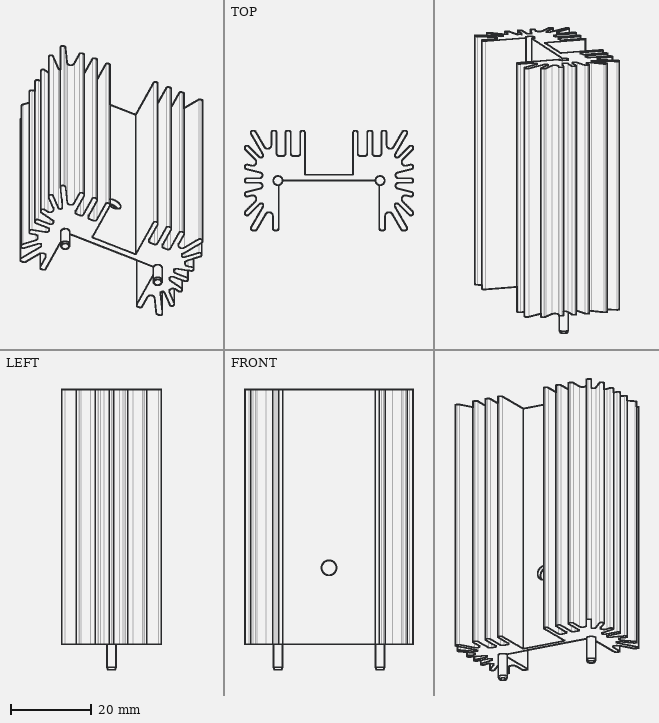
import cadquery as cq
import math

sink_width = 41.91
sink_depth = 24.89
sink_height = 63.5
half_width = sink_width / 2
half_depth = sink_depth / 2

web_thickness = 1.5
block_inner_x = 5.97
front_wall_x = 12.5
mount_hole_diameter = 3.66
mount_hole_z = 19.05

pin_spacing = 25.4
pin_diameter = 2.3
pin_protrusion = 6.35
pin_chamfer_height = 0.6
pin_chamfer_width = 0.25

inner_rear_fin = 1.2
rear_fin = 1.35
side_fin = 1.2
rear_diagonal_fin = 1.3
front_diagonal_fin = 1.55
front_fin = 1.5
tip_radius = 0.55

low_angle = 14
middle_angle = 45
steep_angle = 60

rear_fin_pitch = 3.53
inner_rear_tip_x = block_inner_x + inner_rear_fin / 2
second_rear_tip_x = 10.17
rear_diagonal_tip_x = 18.84
front_diagonal_tip_x = 18.67
front_tip_x = front_wall_x + front_fin / 2
middle_tip_y = 8.1
low_tip_y = 3.4

rear_floor_y = 6.14
floor_radius = 0.6
low_radius = 0.69
middle_radius = 0.9
steep_radius = 0.54
rear_radius = 0.9
front_radius = 0.93

REAR = 90
LEFT = 180
FRONT = 270


def heading(angle):
    """Unit vector in the XY plane at an angle from +X."""
    return cq.Vector(math.cos(math.radians(angle)), math.sin(math.radians(angle)))


def fin(tip_x, tip_y, angle, thickness, facing):
    """Fin pointing along angle, whose tip touches the envelope side that lies toward facing.

    The tip has two rounded corners joined by a flat lying on that side. The flat is as long
    as the thickness leaves room for.
    """
    direction = heading(angle)
    left = heading(angle + 90)
    outward = heading(facing)
    along = heading(facing + 90)
    middle = cq.Vector(tip_x, tip_y)
    flat = (thickness - 2 * tip_radius) / math.cos(math.radians(angle - facing))
    half_flat = along * (flat / 2)
    inset = middle - outward * tip_radius
    corner_centers = [inset - half_flat, inset + half_flat]
    return {
        "direction": direction,
        "outward": outward,
        "corner_centers": corner_centers,
        "first": corner_centers[0] - left * tip_radius,
        "second": corner_centers[1] + left * tip_radius,
    }


def flank_meeting(fin_a, fin_b):
    """Point where the second flank of one fin meets the first flank of the next."""
    p, u = fin_a["second"], fin_a["direction"]
    q, v = fin_b["first"], fin_b["direction"]
    along = ((q.x - p.x) * v.y - (q.y - p.y) * v.x) / (u.x * v.y - u.y * v.x)
    return p + u * along


def round_valley(fin_a, fin_b, radius):
    """Start, middle and end of the arc tangent to both flanks of a V valley."""
    u, v = fin_a["direction"], fin_b["direction"]
    corner = flank_meeting(fin_a, fin_b)
    half_angle = u.getAngle(v) / 2
    bisector = (u + v).normalized()
    reach = radius / math.tan(half_angle)
    middle = corner + bisector * (radius / math.sin(half_angle) - radius)
    return corner + u * reach, middle, corner + v * reach


def draw_corner(outline, center, start, end):
    """Arc of the tip radius around center from start to end."""
    bisector = ((start - center) + (end - center)).normalized()
    middle = center + bisector * tip_radius
    return outline.threePointArc(middle.toTuple()[:2], end.toTuple()[:2])


def draw_fin_tip(outline, item):
    """Go from the first flank around the tip to the second flank."""
    first_center, second_center = item["corner_centers"]
    flat_start = first_center + item["outward"] * tip_radius
    flat_end = second_center + item["outward"] * tip_radius
    outline = outline.lineTo(item["first"].x, item["first"].y)
    outline = draw_corner(outline, first_center, item["first"], flat_start)
    outline = outline.lineTo(flat_end.x, flat_end.y)
    return draw_corner(outline, second_center, flat_end, item["second"])


def draw_valley(outline, fin_a, fin_b, radius):
    start, middle, end = round_valley(fin_a, fin_b, radius)
    outline = outline.lineTo(start.x, start.y)
    return outline.threePointArc(middle.toTuple()[:2], end.toTuple()[:2])


def draw_flat_valley(outline, fin_a, fin_b):
    """Flat floor with rounded corners between two parallel rear fins."""
    right_x = fin_a["second"].x
    left_x = fin_b["first"].x
    lift = floor_radius * (1 - math.sqrt(0.5))
    floor = rear_floor_y
    outline = outline.lineTo(right_x, floor + floor_radius)
    outline = outline.threePointArc((right_x - lift, floor + lift), (right_x - floor_radius, floor))
    outline = outline.lineTo(left_x + floor_radius, floor)
    return outline.threePointArc((left_x + lift, floor + lift), (left_x, floor + floor_radius))


def finned_block():
    """Block at -X with its fins, listed from the inner rear fin round to the front one."""
    rear_fins = [
        fin(-inner_rear_tip_x, half_depth, REAR, inner_rear_fin, REAR),
        fin(-second_rear_tip_x, half_depth, REAR, rear_fin, REAR),
        fin(-second_rear_tip_x - rear_fin_pitch, half_depth, REAR, rear_fin, REAR),
    ]
    side_fins = [
        fin(-rear_diagonal_tip_x, half_depth, LEFT - steep_angle, rear_diagonal_fin, REAR),
        fin(-half_width, middle_tip_y, LEFT - middle_angle, side_fin, LEFT),
        fin(-half_width, low_tip_y, LEFT - low_angle, side_fin, LEFT),
        fin(-half_width, 0, LEFT, side_fin, LEFT),
        fin(-half_width, -low_tip_y, LEFT + low_angle, side_fin, LEFT),
        fin(-half_width, -middle_tip_y, LEFT + middle_angle, side_fin, LEFT),
        fin(-front_diagonal_tip_x, -half_depth, LEFT + steep_angle, front_diagonal_fin, FRONT),
    ]
    last_fin = fin(-front_tip_x, -half_depth, FRONT, front_fin, FRONT)
    side_radii = [steep_radius, middle_radius, low_radius, low_radius, middle_radius, steep_radius]

    outline = cq.Workplane("XY").moveTo(-block_inner_x, 0)
    outline = draw_fin_tip(outline, rear_fins[0])
    for fin_a, fin_b in zip(rear_fins, rear_fins[1:]):
        outline = draw_flat_valley(outline, fin_a, fin_b)
        outline = draw_fin_tip(outline, fin_b)
    outline = draw_valley(outline, rear_fins[-1], side_fins[0], rear_radius)
    outline = draw_fin_tip(outline, side_fins[0])
    for fin_a, fin_b, radius in zip(side_fins, side_fins[1:], side_radii):
        outline = draw_valley(outline, fin_a, fin_b, radius)
        outline = draw_fin_tip(outline, fin_b)
    outline = draw_valley(outline, side_fins[-1], last_fin, front_radius)
    outline = draw_fin_tip(outline, last_fin)
    outline = outline.lineTo(-front_wall_x, 0)
    return outline.close().extrude(sink_height)


def build_heat_sink():
    block = finned_block()
    web = cq.Workplane("XY").box(
        2 * front_wall_x, web_thickness, sink_height, centered=(True, False, False)
    )
    grooves = (
        cq.Workplane("XY")
        .pushPoints([(-pin_spacing / 2, 0), (pin_spacing / 2, 0)])
        .circle(pin_diameter / 2)
        .extrude(sink_height)
    )
    mount_hole = (
        cq.Workplane("XZ")
        .center(0, mount_hole_z)
        .circle(mount_hole_diameter / 2)
        .extrude(sink_depth, both=True)
    )
    sink = block.union(block.mirror("YZ")).union(web)
    return sink.cut(grooves).cut(mount_hole)


def build_pin(x):
    """Round pin whose top is flush with the sink bottom, under a groove; free end chamfered."""
    return (
        cq.Workplane("XY", origin=(x, 0, -pin_protrusion))
        .circle(pin_diameter / 2)
        .extrude(pin_protrusion)
        .faces("<Z")
        .chamfer(pin_chamfer_height, pin_chamfer_width)
    )


heat_sink = build_heat_sink()
pins = [build_pin(side * pin_spacing / 2) for side in (-1, 1)]

result = cq.Compound.makeCompound([heat_sink.val(), *[pin.val() for pin in pins]])